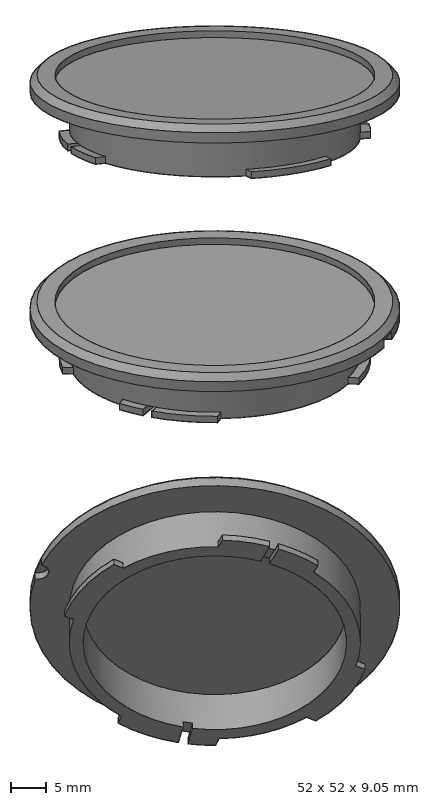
import cadquery as cq

total_height = 9.05
flange_diameter = 52.0
flange_thickness = 2.5
flange_chamfer = 1.0
recess_diameter = 45.0
recess_depth = 1.0

skirt_diameter = 40.9
bore_diameter = 37.0
flange_bottom = total_height - flange_thickness

tab_diameter = 43.8
tab_height = 1.0
plain_tab_width = 13.0
plain_tab_angles = [15.3, 195.3]
split_tab_width = 14.5
split_tab_angles = [92.0, 275.0]

slot_width = 1.35
slot_angles = [84.7, 275.3]

notch_diameter = 3.0
notch_height = 1.15


def cylinder(diameter, height, bottom):
    return cq.Workplane("XY").workplane(offset=bottom).circle(diameter / 2).extrude(height)


def radial_bar(width, angle):
    """Straight bar at the lower rim, running from the axis past the tabs."""
    bar = cq.Workplane("XY").box(tab_diameter, width, tab_height, centered=(False, True, False))
    return bar.rotate((0, 0, 0), (0, 0, 1), angle)


flange = cylinder(flange_diameter, flange_thickness, flange_bottom)
flange = flange.faces(">Z").edges().chamfer(flange_chamfer)
flange = flange.cut(cylinder(recess_diameter, recess_depth, total_height - recess_depth))

notch = cylinder(notch_diameter, notch_height, flange_bottom).translate((-flange_diameter / 2, 0, 0))
flange = flange.cut(notch)

skirt = cylinder(skirt_diameter, flange_bottom, 0)
skirt = skirt.cut(cylinder(bore_diameter, flange_bottom, 0))

tab_ring = cylinder(tab_diameter, tab_height, 0).cut(cylinder(bore_diameter, tab_height, 0))
for tab_angle in plain_tab_angles:
    skirt = skirt.union(tab_ring.intersect(radial_bar(plain_tab_width, tab_angle)))

for tab_angle in split_tab_angles:
    skirt = skirt.union(tab_ring.intersect(radial_bar(split_tab_width, tab_angle)))

for slot_angle in slot_angles:
    skirt = skirt.cut(radial_bar(slot_width, slot_angle))

result = flange.union(skirt)